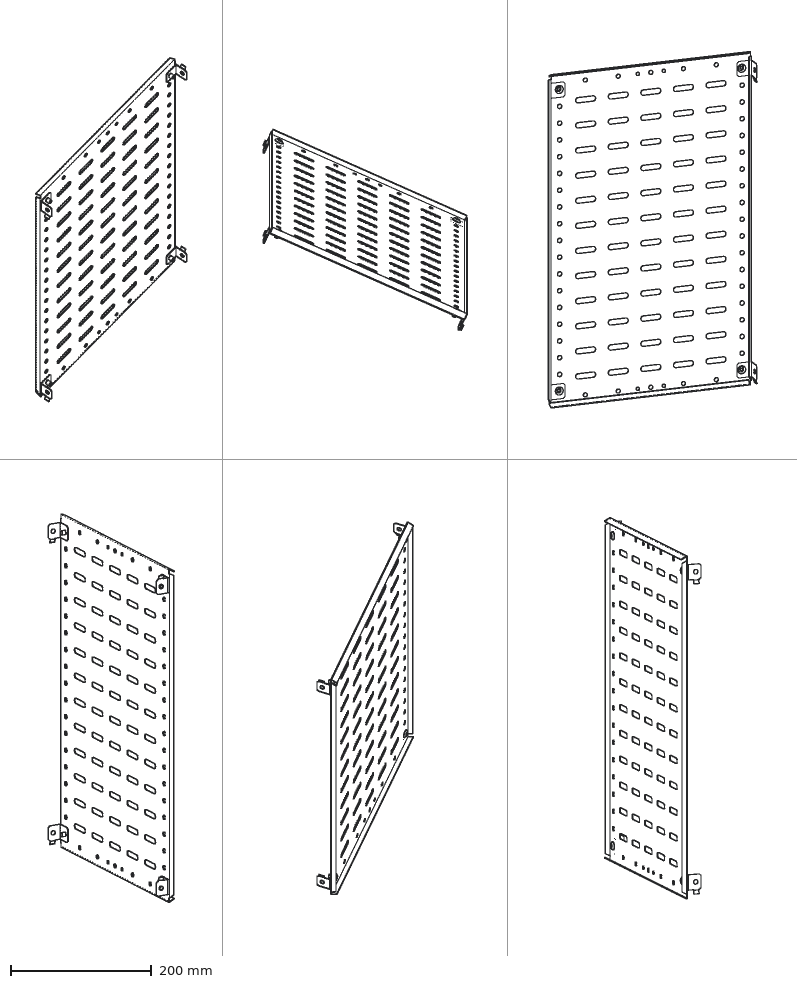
import cadquery as cq
import math


total_depth = 30.5
total_width = 311.5
total_height = 497.5

sheet = 1.5
bend_radius = 1.25
panel_back = 0.0
panel_front = panel_back - sheet

arm_end = 20.5
panel_width = 307.5
flange_front = -8.5
side_height = 483.5
lip_width = 304.5
lip_front = arm_end - total_depth
lip_angle = 27.5

slot_length = 30.5
slot_height = 8.0
slot_pitch_y = 50.0
slot_columns = 5
slot_rows = 12
slot_span_z = 412.0
slot_pitch_z = slot_span_z / (slot_rows - 1)
side_hole_diameter = 6.5
side_hole_y = 139.5
side_hole_count = 19
side_hole_span = 450.0
side_hole_pitch = side_hole_span / (side_hole_count - 1)
end_hole_z = 235.0
end_holes = [(0.0, 6.0), (20.0, 5.0), (50.0, 6.0), (100.0, 6.0)]

bracket_z = side_hole_span / 2
bracket_height = 22.5
bracket_corner = 2.5
foot_edge_y = 131.5
arm_outer_y = panel_width / 2
arm_hole_x = 12.5
arm_hole_diameter = 6.5
tab_start = 9.0
tab_width = 8.0
tab_reach = 17.5
tab_neck = 0.75
tab_lean = 20.0
tab_tip_y = total_width / 2

bolt_diameter = side_hole_diameter
bolt_end = 7.5
bolt_tip_length = 1.0
bolt_tip_inset = 0.5
head_diameter = 12.0
head_height = 3.0
head_chamfer = 2.0
socket_diameter = 4.5
socket_depth = 1.5


def channel():
    """Panel face with its two side flanges, folded towards -X."""
    outer = (
        cq.Workplane("XY")
        .box(panel_back - flange_front, panel_width, side_height, centered=(False, True, True))
        .translate((flange_front, 0, 0))
        .edges("|Z and >X")
        .fillet(bend_radius)
    )
    inner = (
        cq.Workplane("XY")
        .box(panel_front - flange_front, panel_width - 2 * sheet, side_height, centered=(False, True, True))
        .translate((flange_front, 0, 0))
    )
    return outer.cut(inner)


def flange_end_cut():
    """Wedge that bevels the upper ends of the side flanges."""
    top = side_height / 2
    drop = (panel_front - flange_front) * math.tan(math.radians(lip_angle))
    return (
        cq.Workplane("XZ")
        .polyline([(panel_front, top), (flange_front, top), (flange_front, top - drop)])
        .close()
        .extrude(panel_width / 2, both=True)
    )


def lip():
    """Upper edge strip of the panel, bent over its top and sloping down to the front."""
    angle = math.radians(lip_angle)
    slope = math.tan(angle)

    top = total_height / 2 + bend_radius * (1 / math.cos(angle) + slope - 1)
    strip_bottom = side_height / 2 - sheet

    underside_top = top - sheet / math.cos(angle)
    tip_top = top - (panel_back - lip_front) * slope
    tip_inset = sheet * math.sin(angle)
    return (
        cq.Workplane("XZ")
        .polyline([
            (panel_back, strip_bottom),
            (panel_back, top),
            (lip_front, tip_top),
            (lip_front + tip_inset, tip_top - sheet * math.cos(angle)),
            (panel_front, underside_top - sheet * slope),
            (panel_front, strip_bottom),
        ])
        .close()
        .extrude(lip_width / 2, both=True)
        .edges("|Y and >Z")
        .fillet(bend_radius)
    )


def holes(points, diameter):
    """Round cutters through the panel at (y, z) points."""
    return (
        cq.Workplane("YZ", origin=(panel_front, 0, 0))
        .pushPoints(points)
        .circle(diameter / 2)
        .extrude(sheet)
    )


def slots():
    """Grid of horizontal slots."""
    return (
        cq.Workplane("YZ", origin=(panel_front, 0, 0))
        .rarray(slot_pitch_y, slot_pitch_z, slot_columns, slot_rows)
        .slot2D(slot_length, slot_height)
        .extrude(sheet)
    )


def make_panel():
    body = channel()
    bevel = flange_end_cut()
    upper_lip = lip()
    body = body.cut(bevel).cut(bevel.mirror("XY"))
    body = body.union(upper_lip).union(upper_lip.mirror("XY"))
    body = body.cut(slots())

    heights = [-bracket_z + i * side_hole_pitch for i in range(side_hole_count)]
    side_points = [(y, z) for y in (-side_hole_y, side_hole_y) for z in heights]
    body = body.cut(holes(side_points, side_hole_diameter))

    for distance, diameter in end_holes:
        points = {(sy * distance, sz * end_hole_z) for sy in (-1, 1) for sz in (-1, 1)}
        body = body.cut(holes(sorted(points), diameter))
    return body


def make_bracket():
    """Angle bracket on the +Y edge, centred on z = 0."""
    foot = (
        cq.Workplane("XY")
        .box(sheet, arm_outer_y - foot_edge_y, bracket_height, centered=(False, False, True))
        .translate((panel_back, foot_edge_y, 0))
        .edges("|X and <Y")
        .chamfer(bracket_corner)
    )
    arm = (
        cq.Workplane("XY")
        .box(arm_end - panel_back, sheet, bracket_height, centered=(False, False, True))
        .translate((panel_back, arm_outer_y - sheet, 0))
        .edges("|Y and >X")
        .chamfer(bracket_corner)
    )

    root = bracket_height / 2
    lean = math.radians(tab_lean)
    end_drop = sheet * math.sin(lean)
    end_width = sheet * math.cos(lean)
    tab = (
        cq.Workplane("YZ", origin=(tab_start, 0, 0))
        .polyline([
            (arm_outer_y - sheet, root),
            (arm_outer_y, root),
            (arm_outer_y, root + tab_neck),
            (tab_tip_y, tab_reach - end_drop),
            (tab_tip_y - end_width, tab_reach),
            (arm_outer_y - sheet, root + tab_neck),
        ])
        .close()
        .extrude(tab_width)
    )
    arm_hole = (
        cq.Workplane("XZ", origin=(arm_hole_x, arm_outer_y, 0))
        .circle(arm_hole_diameter / 2)
        .extrude(sheet)
    )
    foot_hole = (
        cq.Workplane("YZ", origin=(panel_back, side_hole_y, 0))
        .circle(bolt_diameter / 2)
        .extrude(sheet)
    )
    return foot.union(arm).union(tab).cut(arm_hole).cut(foot_hole)


def make_bolt():
    """Socket-head bolt along X, centred on y = z = 0, head on the front of the panel."""
    head = (
        cq.Workplane("YZ", origin=(panel_front - head_height, 0, 0))
        .circle(head_diameter / 2)
        .extrude(head_height)
        .faces("<X")
        .chamfer(head_chamfer)
    )
    tip_taper = math.degrees(math.atan2(bolt_tip_inset, bolt_tip_length))
    shank = (
        cq.Workplane("YZ", origin=(panel_front, 0, 0))
        .circle(bolt_diameter / 2)
        .extrude(bolt_end - bolt_tip_length - panel_front)
        .faces(">X")
        .workplane()
        .circle(bolt_diameter / 2)
        .extrude(bolt_tip_length, taper=tip_taper)
    )
    socket = (
        cq.Workplane("YZ", origin=(panel_front - head_height, 0, 0))
        .polygon(6, socket_diameter)
        .extrude(socket_depth)
    )
    return head.union(shank).cut(socket)


panel = make_panel()

brackets = []
bolts = []
for side_turn, side_y in ((0, side_hole_y), (180, -side_hole_y)):
    for z in (-bracket_z, bracket_z):
        bracket = make_bracket().rotate((0, 0, 0), (1, 0, 0), side_turn)
        brackets.append(bracket.translate((0, 0, z)).val())
        bolts.append(make_bolt().translate((0, side_y, z)).val())

result = cq.Compound.makeCompound([panel.val(), *brackets, *bolts])